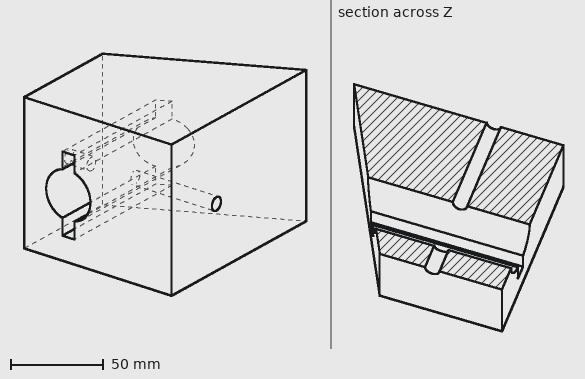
import cadquery as cq

width = 100.0
long_side = 120.0
short_side = 70.0
height = 90.0

bore_x = 30.0
bore_diameter = 30.0
keyway_width = 8.0
keyway_span = 50.0

axis_height = 40.0
cross_hole_y = 40.0
cross_hole_diameter = 8.0


def make_block():
    outline = [(0, 0), (width, 0), (width, long_side), (0, short_side)]
    return cq.Workplane("XY").polyline(outline).close().extrude(height)


def make_keyed_bore():
    start = cq.Workplane("XZ").center(bore_x, axis_height)
    bore = start.circle(bore_diameter / 2).extrude(-long_side)
    keyways = start.rect(keyway_width, keyway_span).extrude(-long_side)
    return bore.union(keyways)


def make_cross_hole():
    start = cq.Workplane("YZ").center(cross_hole_y, axis_height)
    return start.circle(cross_hole_diameter / 2).extrude(width)


result = make_block().cut(make_keyed_bore()).cut(make_cross_hole())